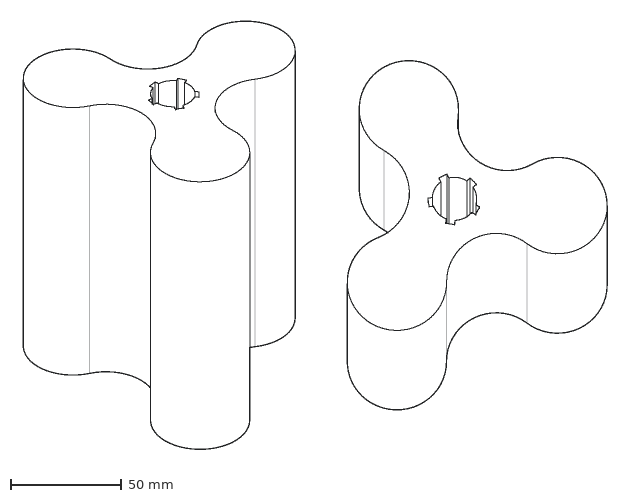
import cadquery as cq
import math

height = 150.0
lobe_count = 3
lobe_radius = 22.5
lobe_spacing = 81.0
hollow_radius = 22.5
bore_radius = 10.0
key_count = 5
key_width = 4.0
key_reach = 11.8

lobe_step = 360.0 / lobe_count
lobe_distance = lobe_spacing / 2 / math.sin(math.pi / lobe_count)
chord_distance = lobe_spacing / 2 / math.tan(math.pi / lobe_count)
hollow_distance = chord_distance + math.sqrt(
    (lobe_radius + hollow_radius) ** 2 - (lobe_spacing / 2) ** 2
)


def polar(distance, angle):
    """Point at a distance from the axis and an angle in degrees."""
    radians = math.radians(angle)
    return distance * math.cos(radians), distance * math.sin(radians)


def tangent_point(lobe_angle, hollow_angle):
    """Point where a lobe and the neighbouring hollow touch."""
    lobe_x, lobe_y = polar(lobe_distance, lobe_angle)
    hollow_x, hollow_y = polar(hollow_distance, hollow_angle)
    share = lobe_radius / (lobe_radius + hollow_radius)
    return lobe_x + share * (hollow_x - lobe_x), lobe_y + share * (hollow_y - lobe_y)


def make_body():
    """Prism of round lobes blended by tangent concave arcs."""
    outline = cq.Workplane("XY").moveTo(*tangent_point(0, -lobe_step / 2))
    for index in range(lobe_count):
        lobe_angle = index * lobe_step
        hollow_angle = lobe_angle + lobe_step / 2
        next_lobe_angle = lobe_angle + lobe_step
        outline = outline.threePointArc(
            polar(lobe_distance + lobe_radius, lobe_angle),
            tangent_point(lobe_angle, hollow_angle),
        )
        outline = outline.threePointArc(
            polar(hollow_distance - hollow_radius, hollow_angle),
            tangent_point(next_lobe_angle, hollow_angle),
        )
    return outline.close().extrude(height)


def make_bore():
    """Through bore with evenly spaced flat-bottomed keyways."""
    bore = cq.Workplane("XY").circle(bore_radius).extrude(height)
    keyway = cq.Workplane("XY").box(key_reach, key_width, height, centered=(False, True, False))
    for index in range(key_count):
        angle = index * 360.0 / key_count
        bore = bore.union(keyway.rotate((0, 0, 0), (0, 0, 1), angle))
    return bore


result = make_body().cut(make_bore())